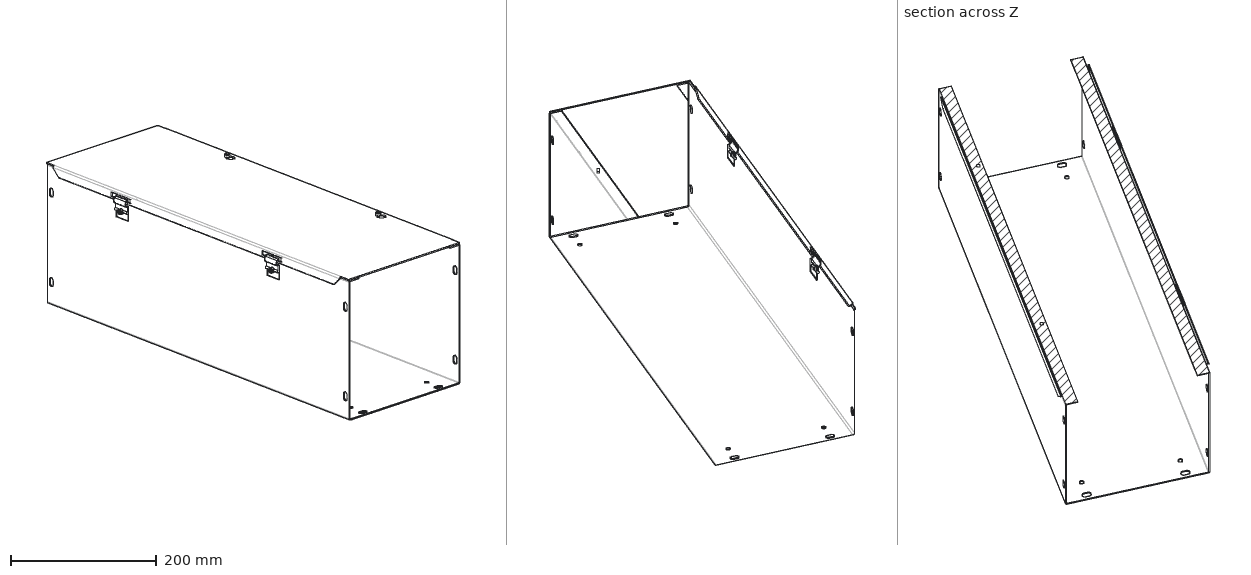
import cadquery as cq

length = 609.5
sheet = 2.0
inner_bend = 0.5
outer_bend = inner_bend + sheet
depth = 207.0
body_height = 206.0
return_flange = 18.0

slot_width = 7.5
slot_length = 13.0
slot_inset = 8.0
wall_slot_heights = (33.5, 165.0)
floor_slot_y = 71.0
floor_hole_diameter = 6.0
floor_hole_inset = 32.0

lid_gap = 2.0
lid_drop = 14.5
lid_relief = 15.0
lid_top = body_height + sheet
wall_front = -depth / 2
lid_inner_front = wall_front - lid_gap
lid_front = lid_inner_front - sheet
lid_back = depth / 2 + sheet

fastener_x = (-152.5, 152.5)
shank_diameter = 4.1
shank_length = 9.0
head_diameter = 8.0
head_height = 4.1
head_chamfer = 0.9
socket_diameter = 4.6
socket_depth = 2.0

lid_screw_y = 92.0
keyhole_diameter = 12.0
keyhole_offset = 7.0
keyhole_neck_width = 4.6

latch_width = 24.0
latch_sheet = 1.0
latch_bottom = 167.5
latch_screw_z = 179.0
bulge_top = 199.0
bulge_radius = 5.5
bulge_axis_offset = 1.05
strip_bottom = 178.0
rib_height = 3.5
rib_reach = 2.0
plate_front = wall_front - latch_sheet
strip_front = plate_front - latch_sheet

hook_slot_length = 38.5
hook_slot_height = 6.0
hook_slot_bottom = 196.0


def along_x(profile, bar_length=length):
    """Extrude a closed Y-Z profile along X, centred on X = 0."""
    return profile.extrude(bar_length / 2, both=True)


def yz_rectangle(y_min, y_max, z_min, z_max):
    return (cq.Workplane("YZ").center((y_min + y_max) / 2, (z_min + z_max) / 2)
            .rect(y_max - y_min, z_max - z_min))


def mirrored_points(x, y):
    return [(sx * x, sy * y) for sx in (-1, 1) for sy in (-1, 1)]


def make_trough():
    half = depth / 2
    inside = half - sheet
    trough = along_x(yz_rectangle(-half, half, 0, body_height)).edges("|X").fillet(outer_bend)
    cavity = (along_x(yz_rectangle(-inside, inside, sheet, body_height - sheet))
              .edges("|X").fillet(inner_bend))
    opening_half = half - return_flange
    opening = along_x(yz_rectangle(-opening_half, opening_half, body_height / 2, body_height))
    trough = trough.cut(cavity).cut(opening)

    slot_x = length / 2 - slot_inset
    wall_points = [(x, z) for x in (-slot_x, slot_x) for z in wall_slot_heights]
    wall_slots = (cq.Workplane("XZ").pushPoints(wall_points)
                  .slot2D(slot_length, slot_width, 90).extrude(depth, both=True))
    floor_slots = (cq.Workplane("XY").pushPoints(mirrored_points(slot_x, floor_slot_y))
                   .slot2D(slot_length, slot_width, 90).extrude(sheet))
    hole_x = length / 2 - floor_hole_inset
    floor_holes = (cq.Workplane("XY").pushPoints(mirrored_points(hole_x, floor_slot_y))
                   .circle(floor_hole_diameter / 2).extrude(sheet))
    trough = trough.cut(wall_slots).cut(floor_slots).cut(floor_holes)

    for x in fastener_x:
        trough = trough.cut(make_lid_screw(x)).cut(make_latch_screw(x))
    return trough


def lid_end_relief(end):
    """Waste at one end of the lid: both bends, and the 45 degree corners of the flanges."""
    lid_bottom = lid_top - lid_drop
    bend_bottom = lid_top - outer_bend
    chamfer = bend_bottom - lid_bottom
    x_end = end * length / 2
    x_relief = end * (length / 2 - lid_relief)
    x_flange = end * (length / 2 - lid_relief - chamfer)
    waste = (cq.Workplane("XZ")
             .polyline([(x_end, lid_bottom), (x_flange, lid_bottom), (x_relief, bend_bottom),
                        (x_relief, lid_top), (x_end, lid_top)])
             .close().extrude(depth, both=True))
    flat_top = along_x(yz_rectangle(lid_front + outer_bend, lid_back - outer_bend, 0, lid_top))
    return waste.cut(flat_top)


def make_lid():
    lid_bottom = lid_top - lid_drop
    lid = (along_x(yz_rectangle(lid_front, lid_back, lid_bottom, lid_top))
           .edges("|X and >Z").fillet(outer_bend))
    inside = (along_x(yz_rectangle(lid_inner_front, depth / 2, lid_bottom, body_height))
              .edges("|X and >Z").fillet(inner_bend))
    lid = lid.cut(inside).cut(lid_end_relief(-1)).cut(lid_end_relief(1))

    lid_plane = cq.Workplane("XY").workplane(offset=body_height)
    for x in fastener_x:
        keyhole = (lid_plane.center(x + keyhole_offset, lid_screw_y)
                   .circle(keyhole_diameter / 2).extrude(sheet))
        neck = (lid_plane.center(x + keyhole_offset / 2, lid_screw_y)
                .slot2D(keyhole_offset + keyhole_neck_width, keyhole_neck_width).extrude(sheet))
        hook_slot = (cq.Workplane("XY").box(hook_slot_length, 2 * sheet, hook_slot_height)
                     .translate((x, lid_front + sheet, hook_slot_bottom + hook_slot_height / 2)))
        lid = lid.cut(keyhole).cut(neck).cut(hook_slot)
    return lid


def make_screw():
    """Screw pointing down, with the underside of its head at the origin."""
    head = (cq.Workplane("XY").circle(head_diameter / 2).extrude(head_height)
            .faces(">Z").chamfer(head_chamfer)
            .faces(">Z").workplane().circle(socket_diameter / 2).cutBlind(-socket_depth))
    shank = cq.Workplane("XY").circle(shank_diameter / 2).extrude(-shank_length)
    return head.union(shank)


def make_lid_screw(x):
    return make_screw().translate((x, lid_screw_y, lid_top))


def make_latch_screw(x):
    facing_front = make_screw().rotate((0, 0, 0), (1, 0, 0), 90)
    return facing_front.translate((x, strip_front, latch_screw_z))


def make_latch(x):
    """Base plate and strip, ribbed at its lower end, with a round bulge that hooks into the lid slot."""
    axis_y = wall_front - bulge_axis_offset
    axis_z = bulge_top - bulge_radius
    inner_radius = bulge_radius - latch_sheet
    bulge = along_x(cq.Workplane("YZ")
                    .moveTo(axis_y, axis_z - bulge_radius)
                    .threePointArc((axis_y - bulge_radius, axis_z), (axis_y, axis_z + bulge_radius))
                    .lineTo(axis_y, axis_z + inner_radius)
                    .threePointArc((axis_y - inner_radius, axis_z), (axis_y, axis_z - inner_radius))
                    .close(), latch_width)
    strip_top = axis_z - inner_radius
    plate = along_x(yz_rectangle(plate_front, wall_front, latch_bottom, strip_top), latch_width)
    strip = along_x(yz_rectangle(strip_front, plate_front, strip_bottom, strip_top), latch_width)
    rib = along_x(cq.Workplane("YZ")
                  .moveTo(strip_front, strip_bottom)
                  .threePointArc((strip_front - rib_reach, strip_bottom + rib_height / 2),
                                 (strip_front, strip_bottom + rib_height))
                  .close(), latch_width)
    latch = plate.union(strip).union(bulge).union(rib)
    return latch.translate((x, 0, 0)).cut(make_latch_screw(x))


trough = make_trough()
lid = make_lid()
lid_screws = [make_lid_screw(x) for x in fastener_x]
latch_screws = [make_latch_screw(x) for x in fastener_x]
latches = [make_latch(x) for x in fastener_x]

bodies = [trough, lid, *lid_screws, *latch_screws, *latches]
result = cq.Compound.makeCompound([body.solids().val() for body in bodies])